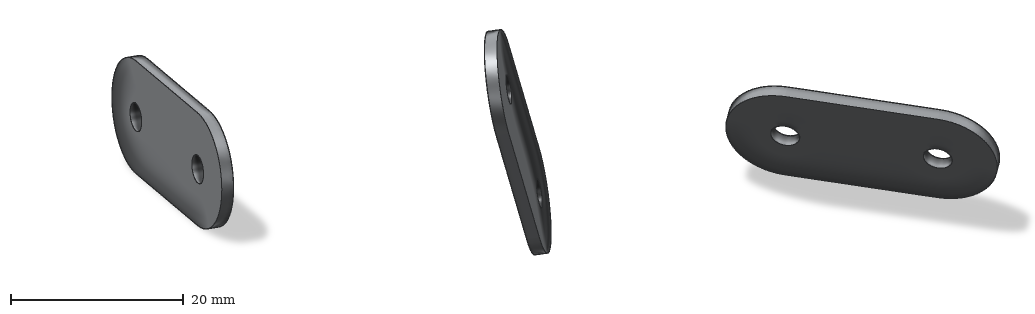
import cadquery as cq

plate_length = 32.0
plate_height = 14.0
plate_thickness = 1.5
hole_diameter = 3.4

hole_spacing = plate_length - plate_height


def make_plate():
    """Flat plate with fully rounded ends, centred on the origin, thickness along Y."""
    return (
        cq.Workplane("XZ")
        .slot2D(plate_length, plate_height)
        .extrude(plate_thickness / 2, both=True)
    )


def drill_end_holes(plate):
    """Cut a through hole at the centre of each rounded end."""
    hole_centres = [(-hole_spacing / 2, 0), (hole_spacing / 2, 0)]
    return (
        plate.faces("<Y")
        .workplane(centerOption="CenterOfBoundBox")
        .pushPoints(hole_centres)
        .hole(hole_diameter)
    )


result = drill_end_holes(make_plate())